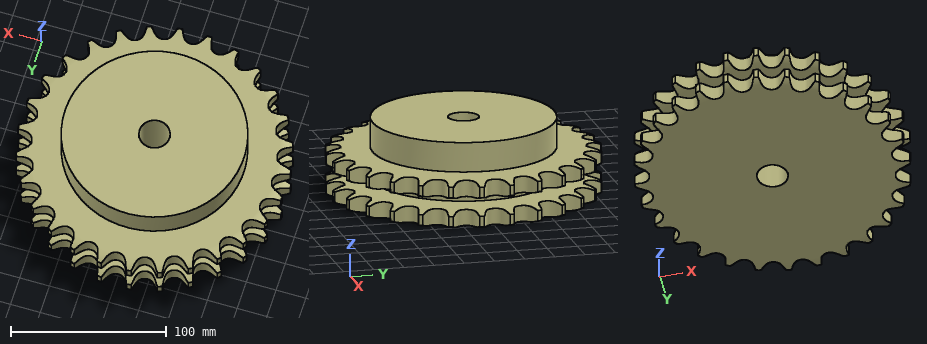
import cadquery as cq
import math


tooth_count = 28
tooth_step = 360 / tooth_count
overall_width = 177.2
roller_diameter = 12.0
pitch_radius = 85.0
chain_pitch = 2 * pitch_radius * math.sin(math.pi / tooth_count)

seat_radius = 0.5025 * roller_diameter
seat_span = 55 - 60 / tooth_count
working_span = 18 - 56 / tooth_count
working_offset = 0.8 * roller_diameter
working_radius = seat_radius + working_offset
topping_offset = 1.4 * roller_diameter
topping_angle = math.radians(17 - 64 / tooth_count)
working_angle = math.radians(working_span)
straight_length = topping_offset * math.sin(topping_angle) - working_offset * math.sin(working_angle)
topping_radius = (
    topping_offset * math.cos(topping_angle) + working_offset * math.cos(working_angle) - working_radius
)

plate_thickness = 10.8
plate_spacing = 19.5
plate_count = 2
rim_round_radius = chain_pitch
rim_round_depth = 2.0

hub_diameter = 120.0
hub_height = 50.0
bore_diameter = 20.0


def polar(radius, angle, center=(0, 0)):
    """Point at a radius and an angle in degrees around a center."""
    turn = math.radians(angle)
    return (center[0] + radius * math.cos(turn), center[1] + radius * math.sin(turn))


def direction(start, end):
    """Angle in degrees of the line from one point to another."""
    return math.degrees(math.atan2(end[1] - start[1], end[0] - start[0]))


def rotated(point, angle):
    """Point turned about the origin by an angle in degrees."""
    return polar(math.hypot(*point), direction((0, 0), point) + angle)


def mirrored(point):
    """Point reflected across the X axis."""
    return (point[0], -point[1])


seat_center = (pitch_radius, 0)
seat_bottom = polar(seat_radius, 180, seat_center)
seat_end_angle = 180 - seat_span
seat_end = polar(seat_radius, seat_end_angle, seat_center)

working_center = polar(working_offset, seat_end_angle - 180, seat_center)
working_end_angle = seat_end_angle - working_span
working_middle = polar(working_radius, seat_end_angle - working_span / 2, working_center)
working_end = polar(working_radius, working_end_angle, working_center)

straight_end = polar(straight_length, working_end_angle - 90, working_end)

topping_center = polar(topping_radius, working_end_angle, straight_end)
tip_x = overall_width / 2
tip_corner = (
    tip_x,
    topping_center[1] - math.sqrt(topping_radius**2 - (tip_x - topping_center[0]) ** 2),
)
topping_start_angle = working_end_angle - 180
topping_end_angle = direction(topping_center, tip_corner)
topping_middle = polar(topping_radius, (topping_start_angle + topping_end_angle) / 2, topping_center)

tip_radius = math.hypot(*tip_corner)
tip_middle = polar(tip_radius, tooth_step / 2)
next_tip_corner = rotated(mirrored(tip_corner), tooth_step)


def make_tooth_outline():
    outline = cq.Workplane("XY").moveTo(*mirrored(tip_corner))
    for tooth in range(tooth_count):

        def placed(point):
            return rotated(point, tooth * tooth_step)

        outline = (
            outline.threePointArc(placed(mirrored(topping_middle)), placed(mirrored(straight_end)))
            .lineTo(*placed(mirrored(working_end)))
            .threePointArc(placed(mirrored(working_middle)), placed(mirrored(seat_end)))
            .threePointArc(placed(seat_bottom), placed(seat_end))
            .threePointArc(placed(working_middle), placed(working_end))
            .lineTo(*placed(straight_end))
            .threePointArc(placed(topping_middle), placed(tip_corner))
            .threePointArc(placed(tip_middle), placed(next_tip_corner))
        )
    return outline.close()


def rim_round_reach(depth):
    """Radial distance over which the rounded rim drops by a depth below the face."""
    return math.sqrt(rim_round_radius**2 - (rim_round_radius - depth) ** 2)


def make_plate_blank():
    face_radius = tip_radius - rim_round_reach(rim_round_depth)
    middle_depth = rim_round_depth / 2
    middle_radius = face_radius + rim_round_reach(middle_depth)
    return (
        cq.Workplane("XZ")
        .lineTo(face_radius, 0)
        .threePointArc((middle_radius, middle_depth), (tip_radius, rim_round_depth))
        .lineTo(tip_radius, plate_thickness - rim_round_depth)
        .threePointArc((middle_radius, plate_thickness - middle_depth), (face_radius, plate_thickness))
        .lineTo(0, plate_thickness)
        .close()
        .revolve(360, (0, 0, 0), (0, 1, 0))
    )


toothed_plate = make_tooth_outline().extrude(plate_thickness).intersect(make_plate_blank())

result = cq.Workplane("XY").circle(hub_diameter / 2).extrude(hub_height)
for plate in range(plate_count):
    result = result.union(toothed_plate.translate((0, 0, plate * plate_spacing)))

bore = cq.Workplane("XY").circle(bore_diameter / 2).extrude(hub_height)
result = result.cut(bore)